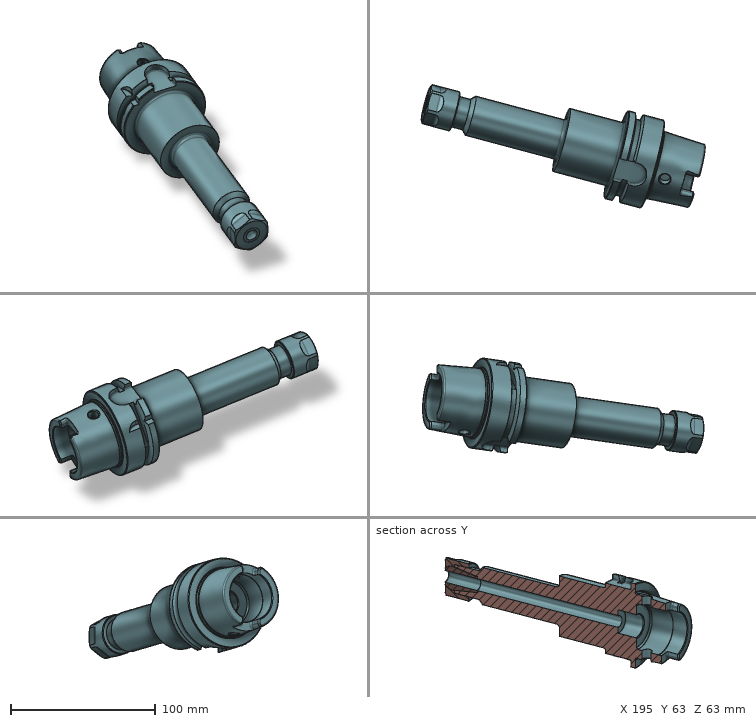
import cadquery as cq
import math


total_length = 195.0

taper_mouth_radius = 22.6
taper_root_radius = 24.2
taper_root_x = 30.0
taper_edge_round = 1.0
relief_radius = 23.8
relief_flare_radius = 24.5
relief_face_radius = 25.2
relief_face_depth = 0.4

flange_radius = 31.5
flange_start_x = 32.0
flange_end_x = 58.0
relief_floor_x = flange_start_x + relief_face_depth
flange_chamfer = 0.5
groove_x = 49.7
groove_radius = 27.3
groove_floor_width = 3.5
groove_mouth_width = 6.2

body_radius = 22.6
body_end_x = 97.3
body_root_fillet = 1.5
shank_radius = 14.0
shank_root_fillet = 2.5
shank_end_x = 162.9
neck_radius = 11.0
neck_start_x = shank_end_x + shank_radius - neck_radius
neck_end_x = 187.3

cavity_mouth_radius = 34.0 / 2
cavity_mouth_chamfer = 0.5
cavity_mouth_depth = 12.3
cavity_radius = 16.8
cavity_floor_x = 31.2
cavity_floor_chamfer = 1.2
thread_hole_radius = 17.0 / 2
thread_hole_chamfer = 0.5
thread_hole_end_x = 46.8
through_radius = 8.4 / 2

drive_slot_half_width = 6.2
drive_slot_top_depth = 6.2
drive_slot_bottom_depth = 10.0
drive_slot_corner = 1.2
drive_slot_entry_chamfer = 1.0
drive_slot_lip_round = 2.5
drive_slot_lip_z = 21.0

access_x = 22.8
access_radius = 7.5 / 2
access_chamfer = 0.8

mill_stop_x = 44.9
keyway_radius = 17.0 / 2
keyway_floor_z = 26.3
keyway_floor_fillet = 0.5
notch_radius = 16.0 / 2
notch_offset = 20.0
groove_flat_offset = 21.7
groove_flat_angle = 48.0

nut_start_x = 174.4
nut_radius = 14.0
nut_back_chamfer = 0.5
nut_front_radius = 12.0
nut_front_chamfer = 1.0
hex_count = 6
hex_half_flats = 12.7
hex_start_x = 188.0
hex_runout_radius = 5.0

collet_length = 27.5
collet_max_radius = 17.0 / 2
collet_seat_angle = 8.0
collet_rim_length = 3.9
collet_nose_angle = 30.0
collet_start_x = total_length - collet_length
collet_nose_x = neck_end_x + collet_rim_length


def revolve_profile(profile):
    """Turn a closed wire of (x, radius) points about the X axis."""
    return profile.close().revolve(360, (0, 0, 0), (1, 0, 0))


def cylinder_z(radius, height, x, y, z):
    """Cylinder along +Z whose bottom centre is (x, y, z)."""
    return cq.Workplane("XY", origin=(x, y, z)).circle(radius).extrude(height)


def box_between(x_range, y_range, z_range):
    """Box between the given limits."""
    (x0, x1), (y0, y1), (z0, z1) = x_range, y_range, z_range
    return cq.Workplane("XY").box(x1 - x0, y1 - y0, z1 - z0, centered=False).translate((x0, y0, z0))


def holder_blank():
    """Solid outside shape of the holder."""
    floor_half = groove_floor_width / 2
    mouth_half = groove_mouth_width / 2
    arc_45 = 1 - math.sqrt(0.5)
    edge_arc = taper_edge_round * arc_45
    body_arc = body_root_fillet * arc_45
    shank_arc = shank_root_fillet * arc_45
    return revolve_profile(
        cq.Workplane("XY")
        .lineTo(0, taper_mouth_radius - taper_edge_round)
        .threePointArc((edge_arc, taper_mouth_radius - edge_arc), (taper_edge_round, taper_mouth_radius))
        .lineTo(taper_root_x, taper_root_radius)
        .lineTo(taper_root_x + taper_root_radius - relief_radius, relief_radius)
        .lineTo(relief_floor_x + relief_radius - relief_flare_radius, relief_radius)
        .lineTo(relief_floor_x, relief_flare_radius)
        .lineTo(relief_floor_x, relief_face_radius)
        .lineTo(flange_start_x, relief_face_radius)
        .lineTo(flange_start_x, flange_radius - flange_chamfer)
        .lineTo(flange_start_x + flange_chamfer, flange_radius)
        .lineTo(groove_x - mouth_half, flange_radius)
        .lineTo(groove_x - floor_half, groove_radius)
        .lineTo(groove_x + floor_half, groove_radius)
        .lineTo(groove_x + mouth_half, flange_radius)
        .lineTo(flange_end_x - flange_chamfer, flange_radius)
        .lineTo(flange_end_x, flange_radius - flange_chamfer)
        .lineTo(flange_end_x, body_radius + body_root_fillet)
        .threePointArc(
            (flange_end_x + body_arc, body_radius + body_arc),
            (flange_end_x + body_root_fillet, body_radius),
        )
        .lineTo(body_end_x, body_radius)
        .lineTo(body_end_x, shank_radius + shank_root_fillet)
        .threePointArc(
            (body_end_x + shank_arc, shank_radius + shank_arc),
            (body_end_x + shank_root_fillet, shank_radius),
        )
        .lineTo(shank_end_x, shank_radius)
        .lineTo(neck_start_x, neck_radius)
        .lineTo(neck_end_x, neck_radius)
        .lineTo(neck_end_x, 0)
    )


def holder_cavity():
    """Stepped bore from the open end of the taper to the collet."""
    return revolve_profile(
        cq.Workplane("XY")
        .lineTo(0, cavity_mouth_radius + cavity_mouth_chamfer)
        .lineTo(cavity_mouth_chamfer, cavity_mouth_radius)
        .lineTo(cavity_mouth_depth, cavity_mouth_radius)
        .lineTo(cavity_mouth_depth, cavity_radius)
        .lineTo(cavity_floor_x - cavity_floor_chamfer, cavity_radius)
        .lineTo(cavity_floor_x, cavity_radius - cavity_floor_chamfer)
        .lineTo(cavity_floor_x, thread_hole_radius + thread_hole_chamfer)
        .lineTo(cavity_floor_x + thread_hole_chamfer, thread_hole_radius)
        .lineTo(thread_hole_end_x, thread_hole_radius)
        .lineTo(thread_hole_end_x, through_radius)
        .lineTo(collet_start_x, through_radius)
        .lineTo(collet_start_x, 0)
    )


def drive_slot_section(start_x, growth):
    """Closed slot section at start_x, with straight sides, flared lips and all sides moved out by growth."""
    half = drive_slot_half_width + growth
    lip_z = drive_slot_lip_z - growth
    lip_round = drive_slot_lip_round - growth
    flare = half + lip_round
    lip_start_z = lip_z - lip_round
    mid_y = flare - lip_round * math.sqrt(0.5)
    mid_z = lip_start_z + lip_round * math.sqrt(0.5)
    outer = flare + drive_slot_lip_round
    return (
        cq.Workplane("YZ", origin=(start_x, 0, 0))
        .moveTo(-half, 0)
        .lineTo(-half, lip_start_z)
        .threePointArc((-mid_y, mid_z), (-flare, lip_z))
        .lineTo(-outer, lip_z)
        .lineTo(-outer, flange_radius)
        .lineTo(outer, flange_radius)
        .lineTo(outer, lip_z)
        .lineTo(flare, lip_z)
        .threePointArc((mid_y, mid_z), (half, lip_start_z))
        .lineTo(half, 0)
        .close()
    )


def drive_slot(depth):
    """Cutter for a slot in the upper wall, with a rounded floor corner and a chamfered entry."""
    slot = drive_slot_section(0, 0).extrude(depth).faces(">X").edges().fillet(drive_slot_corner)
    mouth_wire = drive_slot_section(0, drive_slot_entry_chamfer).wires().val()
    inner_wire = drive_slot_section(drive_slot_entry_chamfer, 0).wires().val()
    entry = cq.Solid.makeLoft([mouth_wire, inner_wire], True)
    return slot.union(cq.Workplane(entry))


def access_hole():
    """Cutter for one access hole through the upper wall, with a chamfered rim."""
    slope = (taper_root_radius - taper_mouth_radius) / taper_root_x
    rim_z = taper_mouth_radius + slope * access_x
    rim_radius = access_radius + access_chamfer
    chamfer = (
        cq.Workplane("XZ")
        .moveTo(0, rim_z - access_chamfer)
        .lineTo(access_radius, rim_z - access_chamfer)
        .lineTo(rim_radius, rim_z)
        .lineTo(rim_radius, flange_radius)
        .lineTo(0, flange_radius)
        .close()
        .revolve(360, (0, 0, 0), (0, 1, 0))
        .translate((access_x, 0, 0))
    )
    return cylinder_z(access_radius, flange_radius, access_x, 0, 0).union(chamfer)


def milled_slot(radius, center_y, floor_z):
    """Cutter for a round-ended slot that runs along X and leaves through the back of the flange."""
    round_end = cylinder_z(radius, flange_radius, mill_stop_x, center_y, floor_z)
    straight = box_between(
        (mill_stop_x, flange_end_x + body_root_fillet),
        (center_y - radius, center_y + radius),
        (floor_z, floor_z + flange_radius),
    )
    return round_end.union(straight)


def keyway():
    """Cutter for one keyway, with a fillet around its floor."""
    return milled_slot(keyway_radius, 0, keyway_floor_z).faces("<Z").edges().fillet(keyway_floor_fillet)


def groove_flat():
    """Cutter for the flat in the groove floor, tilted between -Y and +Z."""
    floor_half = groove_floor_width / 2
    flat = box_between(
        (groove_x - floor_half, groove_x + floor_half),
        (-flange_radius, flange_radius),
        (groove_flat_offset, flange_radius),
    )
    return flat.rotate((0, 0, 0), (1, 0, 0), groove_flat_angle)


def turned_over(cutter):
    """The same cutter on the -Z side."""
    return cutter.rotate((0, 0, 0), (1, 0, 0), 180)


def collet_blank():
    """Collet without its bore: seat taper, rim and nose taper."""
    seat_length = neck_end_x - collet_start_x
    back_radius = collet_max_radius - seat_length * math.tan(math.radians(collet_seat_angle))
    nose_length = total_length - collet_nose_x
    nose_radius = collet_max_radius - nose_length * math.tan(math.radians(collet_nose_angle))
    return revolve_profile(
        cq.Workplane("XY")
        .moveTo(collet_start_x, 0)
        .lineTo(collet_start_x, back_radius)
        .lineTo(neck_end_x, collet_max_radius)
        .lineTo(collet_nose_x, collet_max_radius)
        .lineTo(total_length, nose_radius)
        .lineTo(total_length, 0)
    )


def make_holder():
    cutters = [
        holder_cavity(),
        drive_slot(drive_slot_top_depth),
        turned_over(drive_slot(drive_slot_bottom_depth)),
        access_hole(),
        turned_over(access_hole()),
        keyway(),
        turned_over(keyway()),
        milled_slot(notch_radius, -notch_offset - notch_radius, notch_offset),
        groove_flat(),
        collet_blank(),
    ]
    body = holder_blank()
    for cutter in cutters:
        body = body.cut(cutter)
    return body


def hex_flat():
    """Cutter for the +Y wrench flat, with a rounded run-out at its back end."""
    mid = hex_runout_radius * math.sqrt(0.5)
    return (
        cq.Workplane("XY", origin=(0, 0, -nut_radius))
        .moveTo(total_length, hex_half_flats)
        .lineTo(hex_start_x, hex_half_flats)
        .threePointArc(
            (hex_start_x - mid, hex_half_flats + hex_runout_radius - mid),
            (hex_start_x - hex_runout_radius, hex_half_flats + hex_runout_radius),
        )
        .lineTo(total_length, hex_half_flats + hex_runout_radius)
        .close()
        .extrude(2 * nut_radius)
    )


def make_nut():
    nut_body = revolve_profile(
        cq.Workplane("XY")
        .moveTo(nut_start_x, neck_radius)
        .lineTo(nut_start_x, nut_radius - nut_back_chamfer)
        .lineTo(nut_start_x + nut_back_chamfer, nut_radius)
        .lineTo(total_length - nut_front_chamfer, nut_radius)
        .lineTo(total_length, nut_front_radius)
        .lineTo(total_length, 0)
        .lineTo(neck_end_x, 0)
        .lineTo(neck_end_x, neck_radius)
    )
    for index in range(hex_count):
        nut_body = nut_body.cut(hex_flat().rotate((0, 0, 0), (1, 0, 0), index * 360 / hex_count))
    return nut_body.cut(collet_blank())


def make_collet():
    bore = cq.Workplane("YZ", origin=(collet_start_x, 0, 0)).circle(through_radius).extrude(collet_length)
    return collet_blank().cut(bore)


holder = make_holder()
nut = make_nut()
collet = make_collet()

result = cq.Compound.makeCompound([holder.val(), nut.val(), collet.val()])